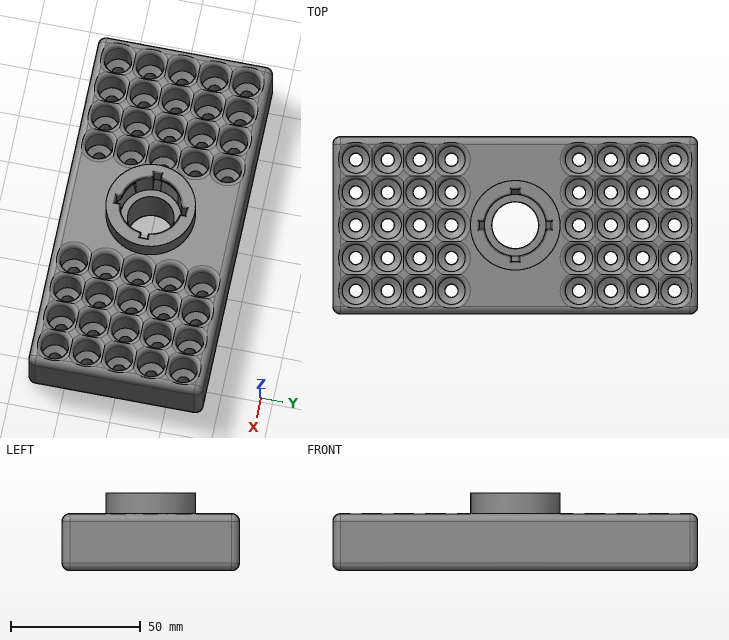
import cadquery as cq
import math

BLOCK_LENGTH = 140.8
BLOCK_WIDTH = 68.5
BLOCK_HEIGHT = 22.0
EDGE_RADIUS = 3.0

BOSS_RADIUS = 34.58 / 2
BOSS_HEIGHT = 8.0
TOP_Z = BLOCK_HEIGHT + BOSS_HEIGHT

THROUGH_RADIUS = 18.0 / 2
SOCKET_RADIUS = 23.77 / 2
SOCKET_DEPTH = 12.0
SOCKET_FLOOR_Z = TOP_Z - SOCKET_DEPTH
MOUTH_RADIUS = 0.5

SLOT_COUNT = 4
SLOT_WIDTH = 3.0
SLOT_DEPTH = 2.0
SLOT_RADIUS = SOCKET_RADIUS + SLOT_DEPTH
LIP_Z = TOP_Z - 2.0
GROOVE_PEAK_Z = TOP_Z - 6.5
GROOVE_SWEEP = 50.0
SECTION_OVERLAP = 0.5

CUP_COLUMNS = 4
CUP_ROWS = 5
CUP_PITCH_X = 12.3
CUP_PITCH_Y = 12.65
INNER_COLUMN_X = 2 * CUP_PITCH_X
CUP_RADIUS = 10.5 / 2
CUP_RIM_RADIUS = 2.0
CUP_WALL_BOTTOM_Z = 10.0
CUP_FLOOR_SLOPE = 30.0
DRAIN_RADIUS = 5.0 / 2


def make_block():
    block = cq.Workplane("XY").box(BLOCK_LENGTH, BLOCK_WIDTH, BLOCK_HEIGHT, centered=(True, True, False))
    return block.edges().fillet(EDGE_RADIUS)


def make_boss():
    return cq.Workplane("XY").workplane(offset=BLOCK_HEIGHT).circle(BOSS_RADIUS).extrude(BOSS_HEIGHT)


def make_cup_cutter():
    """Cup with a rounded rim and a conical floor that drains through the block, on the Z axis."""
    floor_drop = (CUP_RADIUS - DRAIN_RADIUS) * math.tan(math.radians(CUP_FLOOR_SLOPE))
    wall_top_z = BLOCK_HEIGHT - CUP_RIM_RADIUS
    flare_radius = CUP_RADIUS + CUP_RIM_RADIUS
    arc_offset = CUP_RIM_RADIUS * math.sqrt(0.5)
    rim_middle = (flare_radius - arc_offset, wall_top_z + arc_offset)
    return (
        cq.Workplane("XZ")
        .lineTo(DRAIN_RADIUS, 0)
        .lineTo(DRAIN_RADIUS, CUP_WALL_BOTTOM_Z - floor_drop)
        .lineTo(CUP_RADIUS, CUP_WALL_BOTTOM_Z)
        .lineTo(CUP_RADIUS, wall_top_z)
        .threePointArc(rim_middle, (flare_radius, BLOCK_HEIGHT))
        .lineTo(0, BLOCK_HEIGHT)
        .close()
        .revolve(360, (0, 0, 0), (0, 1, 0))
    )


def cup_positions():
    positions = []
    for side in (-1, 1):
        for column in range(CUP_COLUMNS):
            for row in range(CUP_ROWS):
                x = side * (INNER_COLUMN_X + column * CUP_PITCH_X)
                y = (row - (CUP_ROWS - 1) / 2) * CUP_PITCH_Y
                positions.append((x, y))
    return positions


def cut_cups(block):
    cutter = make_cup_cutter().val()
    cutters = [cutter.moved(cq.Location(cq.Vector(x, y, 0))) for x, y in cup_positions()]
    return cq.Workplane(block.val().cut(*cutters))


def bayonet_section(upper_outline):
    """Radial section that slopes out from the socket floor, then follows upper_outline back to the wall."""
    inner_radius = SOCKET_RADIUS - SECTION_OVERLAP
    end_z = upper_outline[-1][1]
    section = cq.Workplane("XZ").moveTo(inner_radius, SOCKET_FLOOR_Z).lineTo(SOCKET_RADIUS, SOCKET_FLOOR_Z)
    section = section.lineTo(SLOT_RADIUS, GROOVE_PEAK_Z)
    for radius, z in upper_outline:
        section = section.lineTo(radius, z)
    return section.lineTo(inner_radius, end_z).close()


def make_bayonet_cutter():
    """One entry slot on +X and the V groove that runs clockwise from its middle."""
    slot_section = bayonet_section([(SLOT_RADIUS, TOP_Z), (SOCKET_RADIUS, TOP_Z)])
    slot = slot_section.extrude(SLOT_WIDTH / 2, both=True)
    groove_section = bayonet_section([(SOCKET_RADIUS, LIP_Z)])
    groove = groove_section.revolve(GROOVE_SWEEP, (0, 0, 0), (0, 1, 0))
    return slot.union(groove.rotate((0, 0, 0), (0, 0, 1), -GROOVE_SWEEP))


def cut_socket(body):
    socket = cq.Workplane("XY").workplane(offset=SOCKET_FLOOR_Z).circle(SOCKET_RADIUS).extrude(SOCKET_DEPTH)
    bayonet = make_bayonet_cutter()
    for index in range(SLOT_COUNT):
        socket = socket.union(bayonet.rotate((0, 0, 0), (0, 0, 1), index * 360 / SLOT_COUNT))
    through_hole = cq.Workplane("XY").circle(THROUGH_RADIUS).extrude(TOP_Z)
    return body.cut(socket).cut(through_hole)


def round_socket_mouth(body):
    """Round the socket and slot edges on the top face of the boss."""
    mouth = body.faces(">Z").val().innerWires()[0]
    return body.newObject(mouth.Edges()).fillet(MOUTH_RADIUS)


body = cut_cups(make_block()).union(make_boss())
result = round_socket_mouth(cut_socket(body))